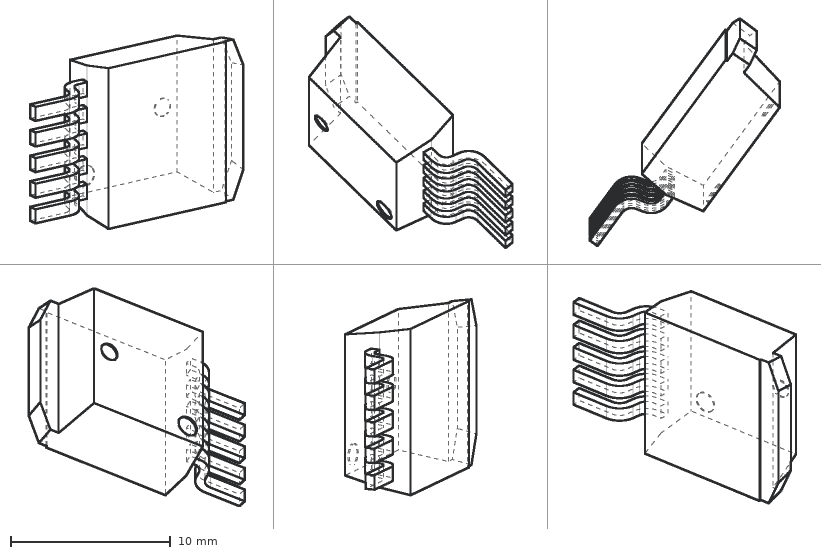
import cadquery as cq
import math


body_depth = 4.6
body_width = 10.67
side_draft = 10.0
parting_x = -2.03
parting_y = 5.32
lead_side_back_y = 5.56
tab_side_y = 14.5

tab_front_x = -1.43
tab_back_x = -0.11
tab_end_y = 15.88
tab_corner_y = 15.12
tab_corner_cut = 1.85

lead_count = 5
lead_pitch = 1.7
lead_width = 0.94
lead_thickness = 0.6
lead_slope = 15.0
body_bend_radius = 1.0
foot_bend_radius = 1.06
foot_bend_y = 2.59
lead_root_y = 6.35
lead_root_x = -2.33

mould_marks = [(12.78, 0.0, 1.19), (6.9, -3.38, 1.37)]
mark_depth = 0.1

draft_slope = math.tan(math.radians(side_draft))


def half_width(x):
    """Half width of the drafted sides at depth x."""
    return body_width / 2 + x * draft_slope


def make_body():
    front_x = -body_depth
    lead_side_front_y = parting_y + (parting_x - front_x) * draft_slope
    tab_side_front_y = tab_side_y - (tab_front_x - front_x) * draft_slope
    profile = (
        cq.Workplane("XY", origin=(0, 0, -body_width / 2))
        .moveTo(0, lead_side_back_y)
        .lineTo(parting_x, parting_y)
        .lineTo(front_x, lead_side_front_y)
        .lineTo(front_x, tab_side_front_y)
        .lineTo(tab_front_x, tab_side_y)
        .lineTo(0, tab_side_y)
        .close()
        .extrude(body_width)
    )
    front_half = half_width(front_x)
    drafted_sides = (
        cq.Workplane("XZ")
        .polyline([
            (0, -body_width / 2),
            (0, body_width / 2),
            (front_x, front_half),
            (front_x, -front_half),
        ])
        .close()
        .extrude(-tab_end_y)
    )
    return profile.intersect(drafted_sides)


def tab_outline(x):
    """Corner points (Y, Z) of the tab at depth x."""
    wide = half_width(x)
    narrow = wide - tab_corner_cut
    root_y = (parting_y + tab_side_y) / 2
    return [
        (root_y, -wide),
        (tab_corner_y, -wide),
        (tab_end_y, -narrow),
        (tab_end_y, narrow),
        (tab_corner_y, wide),
        (root_y, wide),
    ]


def make_tab():
    return (
        cq.Workplane("YZ", origin=(tab_front_x, 0, 0))
        .polyline(tab_outline(tab_front_x))
        .close()
        .workplane(offset=tab_back_x - tab_front_x)
        .polyline(tab_outline(tab_back_x))
        .close()
        .loft(ruled=True)
    )


def make_lead(z):
    """One formed lead, swept along its centreline at height z."""
    turn = math.radians(90 - lead_slope)
    across = 1 - math.cos(turn)
    along = math.sin(turn)
    foot_x = -lead_thickness / 2
    slope_start_x = lead_root_x + body_bend_radius * across
    slope_end_x = foot_x - foot_bend_radius * across
    slope_end_y = foot_bend_y + foot_bend_radius * along
    slope_drop = (slope_end_x - slope_start_x) * math.tan(math.radians(lead_slope))
    slope_start_y = slope_end_y + slope_drop
    body_bend_y = slope_start_y + body_bend_radius * along
    centreline = (
        cq.Workplane("XY", origin=(0, 0, z))
        .moveTo(lead_root_x, lead_root_y)
        .lineTo(lead_root_x, body_bend_y)
        .tangentArcPoint((slope_start_x, slope_start_y), relative=False)
        .lineTo(slope_end_x, slope_end_y)
        .tangentArcPoint((foot_x, foot_bend_y), relative=False)
        .lineTo(foot_x, 0)
    )
    return (
        cq.Workplane("XZ", origin=(lead_root_x, lead_root_y, z))
        .rect(lead_thickness, lead_width)
        .sweep(centreline)
    )


def make_mark(y, z, diameter):
    return (
        cq.Workplane("YZ", origin=(-body_depth, y, z))
        .circle(diameter / 2)
        .extrude(mark_depth)
    )


result = make_body().union(make_tab())
for index in range(lead_count):
    lead_z = (index - (lead_count - 1) / 2) * lead_pitch
    result = result.union(make_lead(lead_z))
for mark_y, mark_z, mark_diameter in mould_marks:
    result = result.cut(make_mark(mark_y, mark_z, mark_diameter))